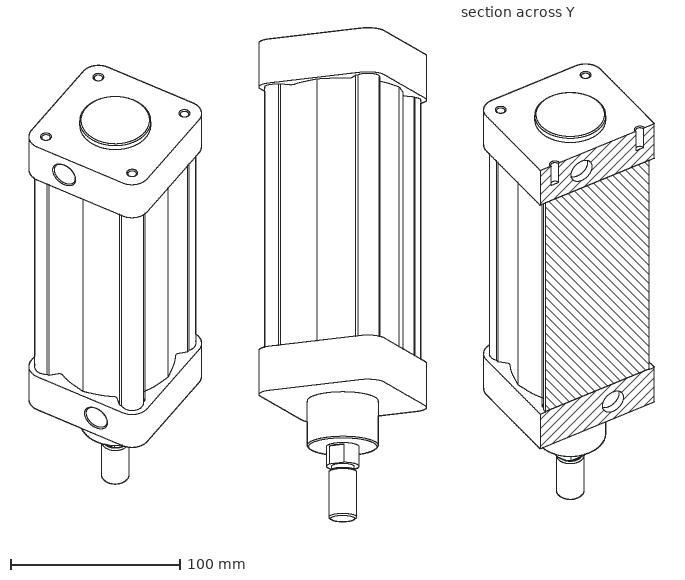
import cadquery as cq
import math

FLANGE_WIDTH = 80.0
FLANGE_CORNER_RADIUS = 10.5
FLANGE_HEIGHT = 27.0
BARREL_LENGTH = 161.0

SCREW_SPACING = 59.5
SCREW_DIAMETER = 5.0
SCREW_DEPTH = 15.0
SCREW_CHAMFER = 0.7

PORT_DIAMETER = 14.5
PORT_DEPTH = 15.0
PORT_CHAMFER = 0.7
PORT_OFFSET = 11.0

COLLAR_DIAMETER = 42.0
COLLAR_CHAMFER = 0.8
CAP_COLLAR_HEIGHT = 4.0
HEAD_COLLAR_LENGTH = 28.0

ROD_DIAMETER = 19.3
WRENCH_FLATS = 16.8
ROD_LAND_LENGTH = 1.0
FLATS_LENGTH = 11.0
UNDERCUT_DIAMETER = 13.5
UNDERCUT_LENGTH = 2.5
THREAD_DIAMETER = 16.5
THREAD_LENGTH = 29.5
THREAD_CHAMFER = 1.0

BARREL_WIDTH = 73.0
POST_RADIUS = (BARREL_WIDTH - SCREW_SPACING) / 2
POST_ARC_END = 25.8
POST_FLAT = 1.5
WALL_RADIUS = 35.6
RIDGE_HALF_WIDTH = 8.3
GROOVE_RADIUS = 2.2

POST_CENTRE = (SCREW_SPACING / 2, -SCREW_SPACING / 2)
CORNER_ANGLE = math.pi / 4
POST_END_ANGLE = math.asin((POST_ARC_END - POST_CENTRE[0]) / POST_RADIUS)

ROD_LENGTH = THREAD_LENGTH + UNDERCUT_LENGTH + FLATS_LENGTH + ROD_LAND_LENGTH
HEAD_BOTTOM = ROD_LENGTH + HEAD_COLLAR_LENGTH
BARREL_BOTTOM = HEAD_BOTTOM + FLANGE_HEIGHT
CAP_BOTTOM = BARREL_BOTTOM + BARREL_LENGTH
CAP_TOP = CAP_BOTTOM + FLANGE_HEIGHT


def make_flange(bottom, port_x):
    """Square block with round corners and one chamfered blind port in its -Y side."""
    block = (
        cq.Workplane("XY", origin=(0, 0, bottom))
        .rect(FLANGE_WIDTH, FLANGE_WIDTH)
        .extrude(FLANGE_HEIGHT)
        .edges("|Z")
        .fillet(FLANGE_CORNER_RADIUS)
    )
    port = make_chamfered_drill(PORT_DIAMETER, PORT_DEPTH, PORT_CHAMFER)
    port = port.rotate((0, 0, 0), (1, 0, 0), 90)
    port = port.translate((port_x, -FLANGE_WIDTH / 2, bottom + FLANGE_HEIGHT / 2))
    return block.cut(port)


def make_chamfered_drill(diameter, depth, chamfer):
    """Cutter for a blind hole that enters the plane Z = 0 from above."""
    radius = diameter / 2
    return (
        cq.Workplane("XZ")
        .polyline([
            (0, 0),
            (radius + chamfer, 0),
            (radius, -chamfer),
            (radius, -depth),
            (0, -depth),
        ])
        .close()
        .revolve(360, (0, 0, 0), (0, 1, 0))
    )


def make_cap():
    """Rear end block with a low chamfered collar and four screw holes."""
    collar = (
        cq.Workplane("XY", origin=(0, 0, CAP_TOP))
        .circle(COLLAR_DIAMETER / 2)
        .extrude(CAP_COLLAR_HEIGHT)
        .faces(">Z")
        .chamfer(COLLAR_CHAMFER)
    )
    cap = make_flange(CAP_BOTTOM, -PORT_OFFSET).union(collar)
    screw_hole = make_chamfered_drill(SCREW_DIAMETER, SCREW_DEPTH, SCREW_CHAMFER)
    for x_side in (-1, 1):
        for y_side in (-1, 1):
            place = (x_side * SCREW_SPACING / 2, y_side * SCREW_SPACING / 2, CAP_TOP)
            cap = cap.cut(screw_hole.translate(place))
    return cap


def make_head():
    """Front end block with the long collar that the rod comes out of."""
    collar = (
        cq.Workplane("XY", origin=(0, 0, ROD_LENGTH))
        .circle(COLLAR_DIAMETER / 2)
        .extrude(HEAD_COLLAR_LENGTH)
        .faces("<Z")
        .chamfer(COLLAR_CHAMFER)
    )
    return make_flange(HEAD_BOTTOM, PORT_OFFSET).union(collar)


def polar(centre, radius, angle):
    """Point on a circle, with the angle counted from -Y towards +X."""
    return (centre[0] + radius * math.sin(angle), centre[1] - radius * math.cos(angle))


def make_half_side():
    """Wire along half of the -Y side of the barrel, from its middle ridge out to the +X post."""
    ridge_angle = math.asin(RIDGE_HALF_WIDTH / WALL_RADIUS)
    ridge_top = (0, -WALL_RADIUS / math.cos(ridge_angle))
    ridge_foot = polar((0, 0), WALL_RADIUS, ridge_angle)
    post_end = polar(POST_CENTRE, POST_RADIUS, POST_END_ANGLE)
    flat_end = (post_end[0] - POST_FLAT, post_end[1])

    centre_distance = WALL_RADIUS + GROOVE_RADIUS
    centre_sum = sum(flat_end) - GROOVE_RADIUS * math.sqrt(2)
    centre_x = (centre_sum + math.sqrt(2 * centre_distance**2 - centre_sum**2)) / 2
    groove_centre = (centre_x, centre_sum - centre_x)
    wall_end_angle = math.asin(centre_x / centre_distance)
    wall_mid = polar((0, 0), WALL_RADIUS, (ridge_angle + wall_end_angle) / 2)
    wall_end = polar((0, 0), WALL_RADIUS, wall_end_angle)

    groove_start_angle = wall_end_angle + math.pi
    groove_end_angle = CORNER_ANGLE + math.pi / 2
    groove_mid = polar(groove_centre, GROOVE_RADIUS, (groove_start_angle + groove_end_angle) / 2)
    groove_end = polar(groove_centre, GROOVE_RADIUS, groove_end_angle)

    return (
        cq.Workplane("XY", origin=(0, 0, BARREL_BOTTOM))
        .moveTo(*ridge_top)
        .lineTo(*ridge_foot)
        .threePointArc(wall_mid, wall_end)
        .threePointArc(groove_mid, groove_end)
        .lineTo(*flat_end)
        .lineTo(*post_end)
        .wire()
        .val()
    )


def make_post_arc():
    """Wire around the outside of the +X, -Y post."""
    return (
        cq.Workplane("XY", origin=(0, 0, BARREL_BOTTOM))
        .moveTo(*polar(POST_CENTRE, POST_RADIUS, POST_END_ANGLE))
        .threePointArc(
            polar(POST_CENTRE, POST_RADIUS, CORNER_ANGLE),
            polar(POST_CENTRE, POST_RADIUS, 2 * CORNER_ANGLE - POST_END_ANGLE),
        )
        .wire()
        .val()
    )


def make_barrel():
    """Extruded barrel: four round corner posts and the same ridged, grooved wall on each side."""
    half_side = make_half_side()
    quarter_wires = [half_side.mirror("YZ"), half_side, make_post_arc()]
    edges = []
    for quarter in range(4):
        for wire in quarter_wires:
            edges += wire.rotate(cq.Vector(0, 0, 0), cq.Vector(0, 0, 1), 90 * quarter).Edges()
    profile = cq.Wire.combine(edges)[0]
    return cq.Workplane("XY").add(cq.Solid.extrudeLinear(profile, [], cq.Vector(0, 0, BARREL_LENGTH)))


def make_rod():
    """Rod end: threaded tip, undercut, and a shank with two wrench flats facing -Y and +Y."""
    shank_bottom = THREAD_LENGTH + UNDERCUT_LENGTH
    thread = (
        cq.Workplane("XY")
        .circle(THREAD_DIAMETER / 2)
        .extrude(THREAD_LENGTH)
        .faces("<Z or >Z")
        .chamfer(THREAD_CHAMFER)
    )
    undercut = (
        cq.Workplane("XY", origin=(0, 0, THREAD_LENGTH))
        .circle(UNDERCUT_DIAMETER / 2)
        .extrude(UNDERCUT_LENGTH)
    )
    flats = (
        cq.Workplane("XY", origin=(0, 0, shank_bottom))
        .circle(ROD_DIAMETER / 2)
        .extrude(FLATS_LENGTH)
        .intersect(
            cq.Workplane("XY", origin=(0, 0, shank_bottom))
            .rect(ROD_DIAMETER, WRENCH_FLATS)
            .extrude(FLATS_LENGTH)
        )
    )
    land = (
        cq.Workplane("XY", origin=(0, 0, shank_bottom + FLATS_LENGTH))
        .circle(ROD_DIAMETER / 2)
        .extrude(ROD_LAND_LENGTH)
    )
    return thread.union(undercut).union(flats).union(land)


cap = make_cap()
barrel = make_barrel()
head = make_head()
rod = make_rod()

result = cq.Compound.makeCompound([cap.val(), barrel.val(), head.val(), rod.val()])